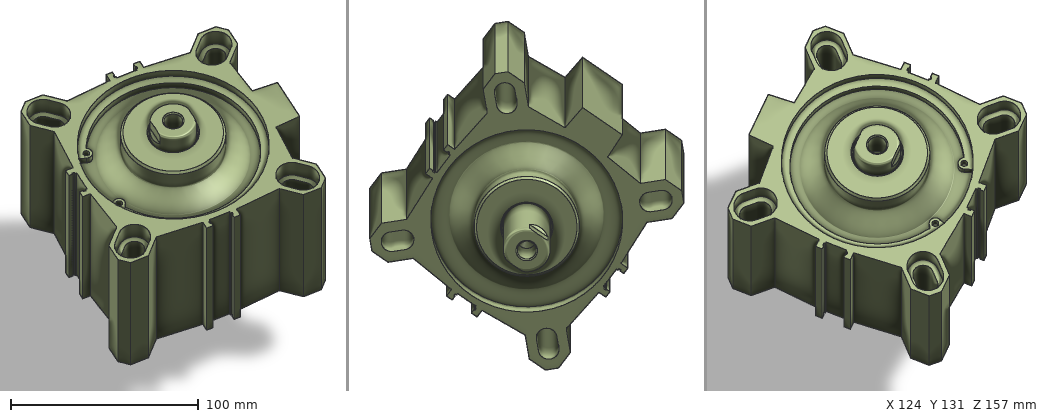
import cadquery as cq
import math


HOUSING_TOP = 58.1
HOUSING_HEIGHT = 86.0
HOUSING_BOTTOM = HOUSING_TOP - HOUSING_HEIGHT
HOUSING_MIDDLE = (HOUSING_TOP + HOUSING_BOTTOM) / 2
CORNER_REACH = 62.0
CORNER_CHAMFER = 5.0
LUG_FACE_END = 46.3
LUG_DEPTH = 9.5
SIDE_CENTRE_REACH = 54.6
SIDE_CENTRE_HALF = 10.0

RAIL_REACH = 59.2
RAIL_OUTER = SIDE_CENTRE_HALF
RAIL_INNER = 6.3
RAIL_ROOT_INNER = 6.0
RAIL_NOTCH_DEPTH = 0.6
RAIL_NOTCH_START = 55.5
RAIL_NOTCH_END = 56.8
RAIL_EMBED = 1.5

PORT_REACH = 69.0
PORT_TIP_HALF = 13.0
PORT_BASE_HALF = 14.1

MOUNT_CENTRE = 49.3
MOUNT_SLOT_TRAVEL = 6.5
MOUNT_HOLE_DIA = 11.0
MOUNT_BORE_DIA = 17.1
MOUNT_BORE_DEPTH = 10.7

BORE_DIA = 102.2
SEAT_DEPTH = 9.0
RIM_THICKNESS = 12.5
CONE_BASE_DIA = 82.3
CONE_SLOPE = 30.0
CONE_FILLET = 1.0
COLLAR_DIA = 56.0
COLLAR_PROJECTION = 10.5
COLLAR_CHAMFER = 1.3
WIPER_DIA = 26.8
WIPER_DEPTH = 1.5
WIPER_MOUTH_DIA = 28.0
ROD_BORE_DIA = 25.6

RING_OUTER_DIA = 106.1
RING_INNER_DIA = 93.1
RING_THICKNESS = 4.1
RING_LUG_RADIUS = 3.3
RING_LUG_ANGLE = 24.6
RING_LUG_ORBIT = 46.3
RING_LUG_FILLET = 1.5
RING_HOLE_DIA = 3.5

ROD_DIA = 25.0
ROD_LENGTH = 157.0
ROD_END_RADIUS = 1.9
FLAT_WIDTH = 21.8
FLAT_LENGTH = 6.9
SOCKET_DIA = 10.0
SOCKET_MOUTH_DIA = 11.5
SOCKET_DEPTH = 18.8
DRILL_POINT_ANGLE = 118.0


def prism(points, bottom, top):
    """Closed outline extruded along Z between two heights."""
    return cq.Workplane("XY").workplane(offset=bottom).polyline(points).close().extrude(top - bottom)


def disc(diameter, bottom, top):
    """Round bar on the Z axis between two heights."""
    return cq.Workplane("XY").workplane(offset=bottom).circle(diameter / 2).extrude(top - bottom)


def quarter_turns(points):
    """The outline made by repeating a run of points on all four sides."""
    outline = []
    for turn in range(4):
        angle = math.radians(90 * turn)
        for x, y in points:
            outline.append(
                (x * math.cos(angle) - y * math.sin(angle), x * math.sin(angle) + y * math.cos(angle))
            )
    return outline


def rail(side):
    """One rib of the pair on the -Y side; side is -1 or +1."""
    notch = RAIL_INNER + RAIL_NOTCH_DEPTH
    root = SIDE_CENTRE_REACH - RAIL_EMBED
    profile = [
        (RAIL_OUTER, root),
        (RAIL_OUTER, RAIL_REACH),
        (RAIL_INNER, RAIL_REACH),
        (RAIL_INNER, RAIL_NOTCH_END),
        (notch, RAIL_NOTCH_END),
        (notch, RAIL_NOTCH_START),
        (RAIL_ROOT_INNER, RAIL_NOTCH_START),
        (RAIL_ROOT_INNER, root),
    ]
    return prism([(side * x, -y) for x, y in profile], HOUSING_BOTTOM, HOUSING_TOP)


def mounting_slot(diameter, bottom, top, direction):
    """Slot cutter lying along one diagonal, direction in degrees."""
    orbit = MOUNT_CENTRE * math.sqrt(2)
    return (
        cq.Workplane("XY")
        .workplane(offset=bottom)
        .center(orbit, 0)
        .slot2D(MOUNT_SLOT_TRAVEL + diameter, diameter)
        .extrude(top - bottom)
        .rotate((0, 0, 0), (0, 0, 1), direction)
    )


def make_housing():
    lug_root = CORNER_REACH - LUG_DEPTH
    side = [
        (CORNER_REACH, -LUG_FACE_END),
        (lug_root, LUG_DEPTH - LUG_FACE_END),
        (SIDE_CENTRE_REACH, -SIDE_CENTRE_HALF),
        (SIDE_CENTRE_REACH, SIDE_CENTRE_HALF),
        (lug_root, LUG_FACE_END - LUG_DEPTH),
        (CORNER_REACH, LUG_FACE_END),
        (CORNER_REACH, CORNER_REACH - CORNER_CHAMFER),
        (CORNER_REACH - CORNER_CHAMFER, CORNER_REACH),
    ]
    body = prism(quarter_turns(side), HOUSING_BOTTOM, HOUSING_TOP)

    for turn in (-90, 0, 90):
        for rail_side in (-1, 1):
            body = body.union(rail(rail_side).rotate((0, 0, 0), (0, 0, 1), turn))

    port_base = lug_root
    port = [
        (-PORT_BASE_HALF, port_base),
        (PORT_BASE_HALF, port_base),
        (PORT_TIP_HALF, PORT_REACH),
        (-PORT_TIP_HALF, PORT_REACH),
    ]
    body = body.union(prism(port, HOUSING_BOTTOM, HOUSING_TOP))

    for direction in (45, 135, 225, 315):
        body = body.cut(mounting_slot(MOUNT_HOLE_DIA, HOUSING_BOTTOM, HOUSING_TOP, direction))
        body = body.cut(
            mounting_slot(MOUNT_BORE_DIA, HOUSING_TOP - MOUNT_BORE_DEPTH, HOUSING_TOP, direction)
        )

    body = body.cut(disc(BORE_DIA, HOUSING_BOTTOM, HOUSING_TOP))
    seat = HOUSING_TOP - SEAT_DEPTH
    return body.cut(disc(RING_OUTER_DIA, seat, seat + RING_THICKNESS))


def make_cover():
    """Cover at the +Z end, revolved about the rod axis."""
    rim_top = HOUSING_TOP - SEAT_DEPTH
    cone_width = (CONE_BASE_DIA - COLLAR_DIA) / 2
    cone_top = rim_top + cone_width * math.tan(math.radians(CONE_SLOPE))
    collar_top = HOUSING_TOP + COLLAR_PROJECTION
    mouth_chamfer = (WIPER_MOUTH_DIA - WIPER_DIA) / 2
    profile = [
        (ROD_BORE_DIA / 2, rim_top - RIM_THICKNESS),
        (BORE_DIA / 2, rim_top - RIM_THICKNESS),
        (BORE_DIA / 2, rim_top),
        (CONE_BASE_DIA / 2, rim_top),
        (COLLAR_DIA / 2, cone_top),
        (COLLAR_DIA / 2, collar_top - COLLAR_CHAMFER),
        (COLLAR_DIA / 2 - COLLAR_CHAMFER, collar_top),
        (WIPER_MOUTH_DIA / 2, collar_top),
        (WIPER_DIA / 2, collar_top - mouth_chamfer),
        (WIPER_DIA / 2, collar_top - WIPER_DEPTH),
        (ROD_BORE_DIA / 2, collar_top - WIPER_DEPTH),
    ]
    cover = cq.Workplane("XZ").polyline(profile).close().revolve(360, (0, 0, 0), (0, 1, 0))
    return cover.faces("%CONE").faces("<Z").edges("%CIRCLE").fillet(CONE_FILLET)


def make_retaining_ring():
    bottom = HOUSING_TOP - SEAT_DEPTH
    top = bottom + RING_THICKNESS
    ring = disc(RING_OUTER_DIA, bottom, top).cut(disc(RING_INNER_DIA, bottom, top))

    gap_half_angle = math.radians(RING_LUG_ANGLE) - math.asin(RING_LUG_RADIUS / RING_LUG_ORBIT)
    gap_reach = RING_OUTER_DIA
    gap_half = gap_reach * math.tan(gap_half_angle)
    ring = ring.cut(prism([(0, 0), (-gap_half, -gap_reach), (gap_half, -gap_reach)], bottom, top))

    lug_x = RING_LUG_ORBIT * math.sin(math.radians(RING_LUG_ANGLE))
    lug_y = -RING_LUG_ORBIT * math.cos(math.radians(RING_LUG_ANGLE))
    lug_centres = [(-lug_x, lug_y), (lug_x, lug_y)]
    plane = cq.Workplane("XY").workplane(offset=bottom).pushPoints(lug_centres)
    ring = ring.union(plane.circle(RING_LUG_RADIUS).extrude(RING_THICKNESS))

    inner_radius = RING_INNER_DIA / 2
    corner_angle = math.radians(RING_LUG_ANGLE) + RING_LUG_RADIUS / inner_radius
    middle = (bottom + top) / 2
    for lug_side in (-1, 1):
        corner = (
            lug_side * inner_radius * math.sin(corner_angle),
            -inner_radius * math.cos(corner_angle),
            middle,
        )
        ring = ring.edges(cq.selectors.NearestToPointSelector(corner)).fillet(RING_LUG_FILLET)

    return ring.cut(plane.circle(RING_HOLE_DIA / 2).extrude(RING_THICKNESS))


def wrench_flat_cutter():
    """Removes the rod beyond one flat at the +Z, +Y end; the flat runs out at 45 degrees."""
    end = ROD_LENGTH / 2
    flat = FLAT_WIDTH / 2
    flat_bottom = end - FLAT_LENGTH
    profile = [
        (flat, end),
        (flat, flat_bottom),
        (flat + FLAT_LENGTH, flat_bottom - FLAT_LENGTH),
        (flat + FLAT_LENGTH, end),
    ]
    return cq.Workplane("YZ").polyline(profile).close().extrude(ROD_DIA / 2, both=True)


def rod_socket_cutter():
    """Blind drilled hole with a chamfered mouth in the +Z end of the rod."""
    end = ROD_LENGTH / 2
    radius = SOCKET_DIA / 2
    mouth = SOCKET_MOUTH_DIA / 2
    point = radius / math.tan(math.radians(DRILL_POINT_ANGLE / 2))
    profile = [
        (0, end),
        (mouth, end),
        (radius, end - (mouth - radius)),
        (radius, end - SOCKET_DEPTH),
        (0, end - SOCKET_DEPTH - point),
    ]
    return cq.Workplane("XZ").polyline(profile).close().revolve(360, (0, 0, 0), (0, 1, 0))


def make_piston_rod():
    end = ROD_LENGTH / 2
    rod = disc(ROD_DIA, -end, end).faces("<Z or >Z").edges().fillet(ROD_END_RADIUS)
    for flat in (wrench_flat_cutter(), wrench_flat_cutter().mirror("XZ")):
        rod = rod.cut(flat).cut(flat.mirror("XY"))
    socket = rod_socket_cutter()
    return rod.cut(socket).cut(socket.mirror("XY"))


housing = make_housing()
covers = [make_cover(), make_cover().mirror("XY", (0, 0, HOUSING_MIDDLE))]
retaining_ring = make_retaining_ring()
piston_rod = make_piston_rod()

result = cq.Compound.makeCompound(
    [housing.val(), *[cover.val() for cover in covers], retaining_ring.val(), piston_rod.val()]
)